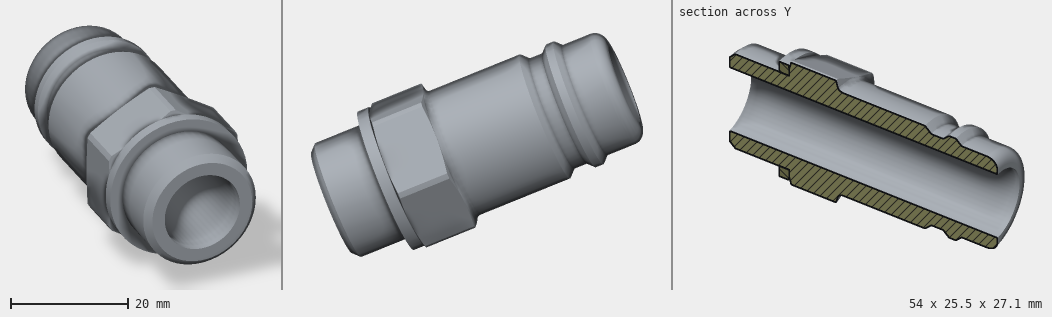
import cadquery as cq
import math

TOTAL_LENGTH = 54.0
RIB_START = 7.25
RIB_CREST_WIDTH = 1.4
SHOULDER_START = 13.35
HEX_START = 32.1
HEX_END = 42.0
RING_WIDTH = 2.0

BORE_DIAMETER = 14.0
NECK_DIAMETER = 20.3
RIB_DIAMETER = 22.6
BARREL_DIAMETER = 22.85
SPIGOT_DIAMETER = 20.95
RING_DIAMETER = 25.5
HEX_ACROSS_FLATS = 23.9
HEX_CORNER_DIAMETER = 27.05

NOSE_RADIUS = 2.15
FLARE_RADIUS = 1.1
SPIGOT_CHAMFER = 1.2
HEX_CHAMFER_ANGLE = 15.0

neck_radius = NECK_DIAMETER / 2
rib_radius = RIB_DIAMETER / 2
barrel_radius = BARREL_DIAMETER / 2
spigot_radius = SPIGOT_DIAMETER / 2
hex_flat_radius = HEX_ACROSS_FLATS / 2
hex_corner_radius = HEX_CORNER_DIAMETER / 2

rib_crest_start = RIB_START + rib_radius - neck_radius
rib_crest_end = rib_crest_start + RIB_CREST_WIDTH
rib_end = rib_crest_end + rib_radius - neck_radius
shoulder_end = SHOULDER_START + barrel_radius - neck_radius

chamfer_lean = math.radians(HEX_CHAMFER_ANGLE)
hex_chamfer_depth = (hex_corner_radius - hex_flat_radius) * math.tan(chamfer_lean)

flare_rise = hex_flat_radius - barrel_radius
flare_length = math.sqrt(FLARE_RADIUS**2 - (FLARE_RADIUS - flare_rise) ** 2)
flare_start = HEX_START - flare_length


def make_turned_blank():
    """Revolve the stepped body, with a double-chamfered disc where the hexagon will be."""
    profile = (
        cq.Workplane("XY")
        .moveTo(0, 0)
        .lineTo(0, neck_radius - NOSE_RADIUS)
        .radiusArc((NOSE_RADIUS, neck_radius), NOSE_RADIUS)
        .lineTo(RIB_START, neck_radius)
        .lineTo(rib_crest_start, rib_radius)
        .lineTo(rib_crest_end, rib_radius)
        .lineTo(rib_end, neck_radius)
        .lineTo(SHOULDER_START, neck_radius)
        .lineTo(shoulder_end, barrel_radius)
        .lineTo(flare_start, barrel_radius)
        .radiusArc((HEX_START, hex_flat_radius), -FLARE_RADIUS)
        .lineTo(HEX_START + hex_chamfer_depth, hex_corner_radius)
        .lineTo(HEX_END - hex_chamfer_depth, hex_corner_radius)
        .lineTo(HEX_END, hex_flat_radius)
        .lineTo(HEX_END, spigot_radius)
        .lineTo(TOTAL_LENGTH - SPIGOT_CHAMFER, spigot_radius)
        .lineTo(TOTAL_LENGTH, spigot_radius - SPIGOT_CHAMFER)
        .lineTo(TOTAL_LENGTH, 0)
        .close()
    )
    return profile.revolve(360, (0, 0, 0), (1, 0, 0))


def make_hex_envelope():
    """Hexagonal bar with corners on +Z and -Z and two flats facing +Y and -Y."""
    sharp_corner_diameter = HEX_ACROSS_FLATS / math.cos(math.pi / 6)
    return (
        cq.Workplane("YZ")
        .transformed(rotate=(0, 0, 90))
        .polygon(6, sharp_corner_diameter)
        .extrude(TOTAL_LENGTH)
    )


def make_connector():
    """Hollow connector: turned body with hexagon flats and a through bore."""
    bore = cq.Workplane("YZ").circle(BORE_DIAMETER / 2).extrude(TOTAL_LENGTH)
    return make_turned_blank().intersect(make_hex_envelope()).cut(bore).solids()


def make_sealing_ring():
    """Flat ring that fits round the spigot and rests against the hexagon."""
    return (
        cq.Workplane("YZ", origin=(HEX_END, 0, 0))
        .circle(RING_DIAMETER / 2)
        .circle(spigot_radius)
        .extrude(RING_WIDTH)
    )


connector = make_connector()
sealing_ring = make_sealing_ring()

result = cq.Compound.makeCompound([connector.val(), sealing_ring.val()])